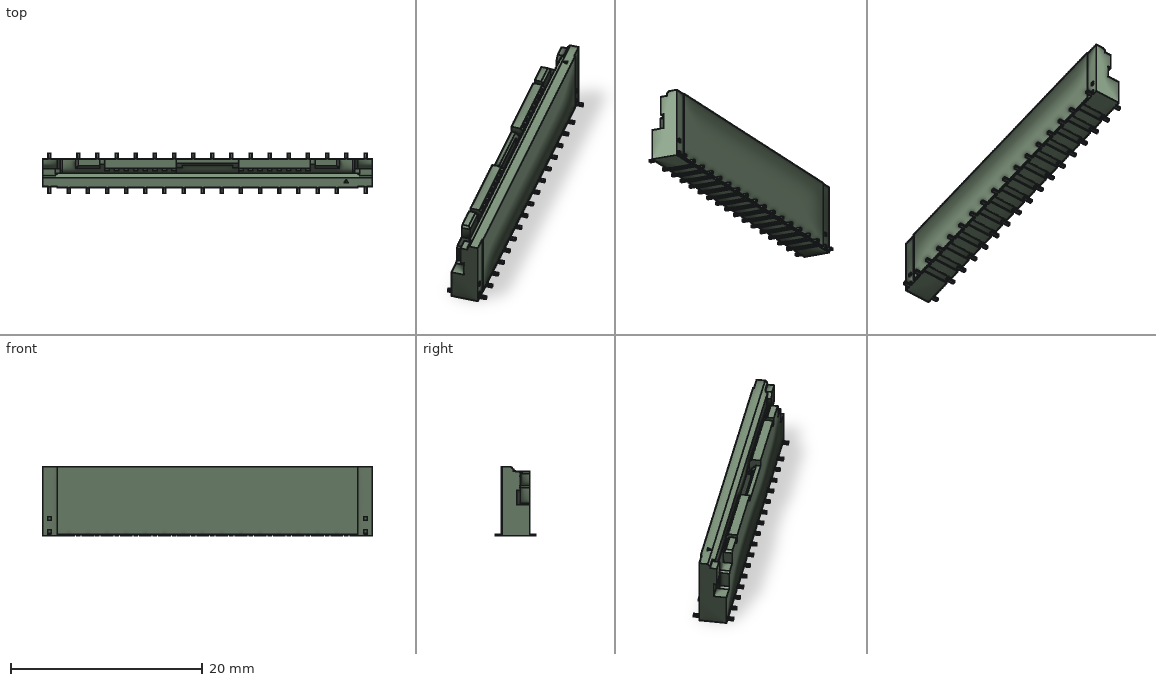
import cadquery as cq

length = 34.5
height = 7.25
depth = 3.0
half_length = length / 2
back_y = depth / 2
front_y = -depth / 2
pitch = 1.0
overlap = 0.05

panel_step = 0.1
panel_half_length = 15.73
panel_bottom = 0.2

wall_back_y = 0.05
bevel_front_y = -0.5
rear_height = 6.75
floor_z = 5.25
floor_half_length = 15.42
floor_bevel = 0.2

post_back_y = 0.5
post_front_y = -0.25
post_inner_x = 15.95
corner_z = 3.25
corner_ramp_x = 15.73
corner_ramp_rise = 0.17
undercut_y = 0.15
undercut_top = 4.8

key_outer_x = 13.75
key_inner_x = 11.25
key_front_y = 0.55
key_bevel = 0.25
link_front_y = 0.93
low_wall_height = 6.07
block_front_y = 0.52
contact_width = 0.45
contact_reach = 0.25
contact_top = 6.65
first_contact = 3.5
contacts_per_block = 8
block_inner_x = first_contact * pitch - contact_width / 2
block_outer_x = (first_contact + contacts_per_block - 1) * pitch + contact_width / 2

low_wall_front_y = 1.05
low_wall_bevel = 0.2
gusset_length = 0.62
gusset_front_y = 0.6
middle_floor_drop = 0.35

tail_tip_y = 2.1
tail_root = 0.35
tail_width = 0.3
tail_height = 0.2
tails_per_row = 15
last_tail = tails_per_row - 0.5
anchor_x = 16.53
tail_slot_width = 0.83
tail_slot_height = 0.15

recess_size = 0.35
recess_depth = 0.1
upper_recess_z = 1.65
lower_recess_z = 0.3

mark_x = last_tail * pitch
mark_tip_y = -0.65
mark_base_y = -1.0
mark_width = 0.4
mark_depth = 0.07


def block(x0, x1, y0, y1, z0, z1):
    """Box between two corners; x0 and x1 may be in either order."""
    return (
        cq.Workplane("XY")
        .box(abs(x1 - x0), y1 - y0, z1 - z0, centered=False)
        .translate((min(x0, x1), y0, z0))
    )


def along_x(points, x0, x1):
    """Extrude a (y, z) outline from x0 to x1, in either order."""
    start = min(x0, x1)
    return cq.Workplane("YZ").workplane(offset=start).polyline(points).close().extrude(abs(x1 - x0))


def along_y(points, y0, y1):
    """Extrude an (x, z) outline from y0 to y1."""
    return cq.Workplane("XZ", origin=(0, y0, 0)).polyline(points).close().extrude(y0 - y1)


def make_front_wall():
    """Tall front wall with its lead-in bevel, standing on the solid base."""
    bevel = wall_back_y - bevel_front_y
    end_y = front_y + panel_step
    outline = [
        (end_y, 0), (back_y, 0), (back_y, floor_z), (wall_back_y, floor_z),
        (wall_back_y, height - bevel), (bevel_front_y, height), (end_y, height),
    ]
    wall = along_x(outline, -half_length, half_length)
    panel = block(
        -panel_half_length, panel_half_length,
        front_y, end_y + overlap, panel_bottom, height,
    )
    return wall.union(panel)


def make_post(side):
    """End post whose inner top edge is bevelled down toward the opening."""
    bevel = post_inner_x - floor_half_length
    outline = [
        (side * half_length, floor_z - overlap), (side * half_length, rear_height),
        (side * post_inner_x, rear_height),
        (side * floor_half_length, rear_height - bevel),
        (side * floor_half_length, floor_z - overlap),
    ]
    return along_y(outline, post_front_y, post_back_y)


def make_post_clearance(side):
    """Cut that drops the back of the front wall to the level of the post top."""
    outer = side * (half_length + overlap)
    miter = wall_back_y - post_front_y
    return (
        cq.Workplane("XY", origin=(0, 0, rear_height))
        .polyline([
            (outer, post_front_y), (side * post_inner_x, post_front_y),
            (side * (post_inner_x - miter), wall_back_y), (outer, wall_back_y),
        ])
        .close()
        .extrude(height - rear_height)
    )


def make_corner_cut(side):
    """Open corner behind a post, with a ramp at its foot, an undercut post and a bevelled floor end."""
    edge = side * (half_length + overlap)
    outline = [
        (edge, corner_z), (side * corner_ramp_x, corner_z),
        (side * floor_half_length, corner_z + corner_ramp_rise),
        (side * floor_half_length, floor_z - floor_bevel),
        (side * (floor_half_length - floor_bevel), floor_z), (edge, floor_z),
    ]
    corner = along_y(outline, post_back_y, back_y + overlap)
    undercut = block(
        edge, side * corner_ramp_x,
        undercut_y, post_back_y + overlap, corner_z, undercut_top,
    )
    groove_outline = [
        (side * floor_half_length, floor_z - floor_bevel),
        (side * (floor_half_length - floor_bevel), floor_z), (side * floor_half_length, floor_z),
    ]
    groove = along_y(groove_outline, wall_back_y, post_back_y + overlap)
    return corner.union(undercut).union(groove)


def make_key(side):
    """Polarising key, bevelled along its front and outer top edges."""
    key = block(
        side * key_outer_x, side * key_inner_x,
        key_front_y, back_y, floor_z - overlap, rear_height,
    )
    outer_selector = ">X" if side > 0 else "<X"
    key = key.faces("<Y").edges(">Z").chamfer(key_bevel)
    key = key.faces(outer_selector).edges(">Z").chamfer(key_bevel)
    link = block(
        side * (key_inner_x + overlap), side * (block_outer_x - overlap),
        link_front_y, back_y, floor_z - overlap, low_wall_height,
    )
    return key.union(link)


def make_contact_block(side):
    """Rear block carrying a row of round-topped contact ribs."""
    carrier = block(
        side * block_inner_x, side * block_outer_x,
        block_front_y, back_y, floor_z - overlap, rear_height,
    )
    for index in range(contacts_per_block):
        middle = side * (first_contact + index) * pitch
        rib = block(
            middle - contact_width / 2, middle + contact_width / 2,
            block_front_y - contact_reach, block_front_y + overlap,
            floor_z - overlap, contact_top,
        )
        rib = rib.faces("<Y").edges(">Z").fillet(contact_reach)
        carrier = carrier.union(rib)
    return carrier


def make_low_wall():
    """Low rear wall between the contact blocks, with a gusset at each end."""
    low_wall_base = floor_z - middle_floor_drop - overlap
    foot_y = low_wall_front_y - low_wall_bevel
    outline = [
        (back_y, low_wall_base), (back_y, low_wall_height),
        (low_wall_front_y, low_wall_height),
        (foot_y, low_wall_height - low_wall_bevel), (foot_y, low_wall_base),
    ]
    wall_end = block_inner_x + overlap
    wall = along_x(outline, -wall_end, wall_end)
    gusset_run = low_wall_front_y - gusset_front_y
    gusset_outline = [
        (low_wall_front_y, low_wall_base), (low_wall_front_y, low_wall_height),
        (gusset_front_y, low_wall_height - gusset_run), (gusset_front_y, low_wall_base),
    ]
    for side in (-1, 1):
        gusset = along_x(gusset_outline, side * wall_end, side * (block_inner_x - gusset_length))
        wall = wall.union(gusset)
    return wall


def make_tail(x, direction):
    """Flat solder tail at x leaving the body toward +Y or -Y."""
    root_y = back_y - tail_root
    tail = block(x - tail_width / 2, x + tail_width / 2, root_y, tail_tip_y, 0, tail_height)
    return tail if direction > 0 else tail.mirror("XZ")


def make_end_recesses(side):
    """Two small square recesses above the front anchor tail."""
    end_y = front_y + panel_step
    x0 = side * anchor_x - recess_size / 2
    heights = (upper_recess_z, lower_recess_z)
    upper, lower = [
        block(x0, x0 + recess_size, end_y - overlap, end_y + recess_depth, z, z + recess_size)
        for z in heights
    ]
    return upper.union(lower)


front_tails = [(2 * index - last_tail) * pitch for index in range(tails_per_row)]
rear_tails = [x + pitch for x in front_tails]

middle_recess = block(
    -block_inner_x, block_inner_x,
    wall_back_y, low_wall_front_y, floor_z - middle_floor_drop, floor_z + overlap,
)
connector = make_front_wall().cut(middle_recess).union(make_low_wall())
for side in (-1, 1):
    connector = connector.cut(make_post_clearance(side)).union(make_post(side))
    connector = connector.cut(make_corner_cut(side))
    connector = connector.union(make_key(side)).union(make_contact_block(side))
    connector = connector.cut(make_end_recesses(side))

for x in rear_tails:
    slot = block(
        x - tail_slot_width / 2, x + tail_slot_width / 2,
        front_y - overlap, back_y + overlap, -overlap, tail_slot_height,
    )
    connector = connector.cut(slot)

for x in front_tails + [-anchor_x, anchor_x]:
    connector = connector.union(make_tail(x, -1))
for x in rear_tails + [-anchor_x, anchor_x]:
    connector = connector.union(make_tail(x, 1))

mark = (
    cq.Workplane("XY", origin=(0, 0, height - mark_depth))
    .polyline([
        (mark_x - mark_width / 2, mark_base_y),
        (mark_x + mark_width / 2, mark_base_y),
        (mark_x, mark_tip_y),
    ])
    .close()
    .extrude(mark_depth + overlap)
)
result = connector.cut(mark)